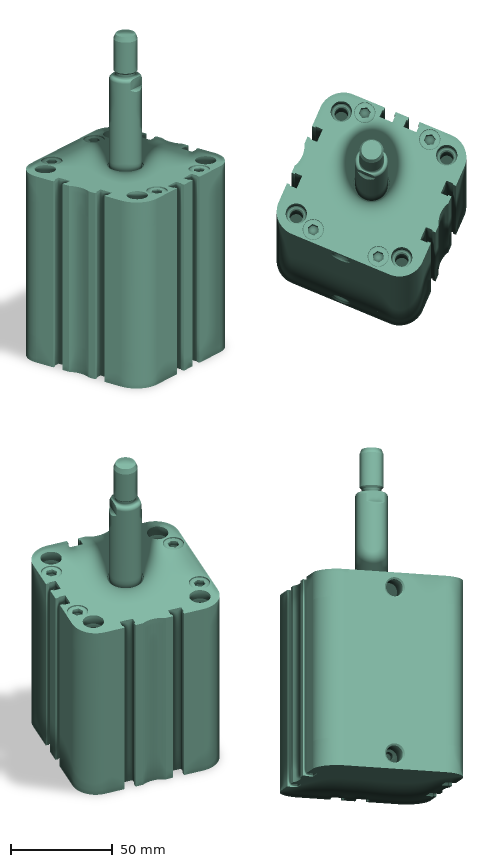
import cadquery as cq
import math

total_height = 169.0
body_side = 77.0
half_side = body_side / 2
body_height = 99.0
cap_height = 13.9
barrel_height = body_height - 2 * cap_height
corner_radius = 12.3
overshoot = 1.7

slot_opening = 5.7
slot_width = 7.0
slot_depth = 5.4
slot_lip = 1.7
front_slot_offset = 12.8
side_slot_offset = 6.5

hollow_half_width = 6.0
hollow_depth = 1.5

mount_offset = 28.2
mount_counterbore_diameter = 10.5
mount_counterbore_depth = 5.0
mount_chamfer_diameter = 8.0
mount_hole_diameter = 6.6

screw_x = 32.3
screw_y = 17.4
screw_recess_diameter = 10.5
screw_head_diameter = 9.8
screw_head_sink = 0.5
socket_sides = 6
socket_across_flats = 5.0
socket_depth = 2.5

port_edge_distance = 7.6
port_diameter = 8.6
port_mouth_diameter = 10.3
port_depth = 10.1
passage_diameter = 4.0
passage_depth = 3.4
passage_rise = 0.8

rod_diameter = 16.0
rod_shoulder_z = 147.0
rod_shoulder_radius = 1.7
neck_diameter = 10.0
neck_fillet = 0.7
thread_diameter = 12.0
thread_start_z = 149.9
thread_run_out = (thread_diameter - neck_diameter) / 2
tip_diameter = 10.0
tip_chamfer_height = 2.5
flat_across = 13.0
flat_bottom_z = 141.6

rod_recess_diameter = 17.7
rod_recess_mouth_diameter = 18.0
rod_recess_depth = 0.8
rod_guide_mouth_diameter = 16.5


def slot_cutter(height):
    """T-slot cutter open towards +Y, its mouth centred on the Z axis at y = 0."""
    mouth = cq.Workplane("XY").box(
        slot_opening, slot_depth + overshoot, height, centered=(True, False, False)
    ).translate((0, -slot_depth, 0))
    cavity = cq.Workplane("XY").box(
        slot_width, slot_depth - slot_lip, height, centered=(True, False, False)
    ).translate((0, -slot_depth, 0))
    return mouth.union(cavity)


def hollow_cutter(height):
    """Cylinder that cuts the hollow into a side at y = 0, facing +Y."""
    radius = (hollow_half_width**2 + hollow_depth**2) / (2 * hollow_depth)
    return cq.Workplane("XY").center(0, radius - hollow_depth).circle(radius).extrude(height)


def body_section(bottom_z, height):
    """A length of the outer section shared by the caps and the barrel."""
    section = cq.Workplane("XY").rect(body_side, body_side).extrude(height).edges("|Z").fillet(corner_radius)
    slot = slot_cutter(height)
    hollow = hollow_cutter(height)
    for turn in (0, 180):
        for x in (-front_slot_offset, front_slot_offset):
            section = section.cut(slot.translate((x, half_side, 0)).rotate((0, 0, 0), (0, 0, 1), turn))
        section = section.cut(hollow.translate((0, half_side, 0)).rotate((0, 0, 0), (0, 0, 1), turn))
    for x in (-side_slot_offset, side_slot_offset):
        section = section.cut(slot.translate((x, half_side, 0)).rotate((0, 0, 0), (0, 0, 1), -90))
    return section.translate((0, 0, bottom_z))


def tapered_hole(large_diameter, small_diameter):
    """45-degree cone with its large end at z = 0, narrowing downwards."""
    depth = (large_diameter - small_diameter) / 2
    profile = [(0, 0), (large_diameter / 2, 0), (small_diameter / 2, -depth), (0, -depth)]
    return cq.Workplane("XZ").polyline(profile).close().revolve(360, (0, 0, 0), (0, 1, 0))


def port_cutter(axis_z):
    """Blind port with a chamfered mouth in the -X side."""
    bore = cq.Workplane("XY").circle(port_diameter / 2).extrude(-port_depth)
    port = bore.union(tapered_hole(port_mouth_diameter, port_diameter))
    return port.rotate((0, 0, 0), (0, 1, 0), -90).translate((-half_side, 0, axis_z))


def mount_hole_cutter():
    """Counterbored, chamfered thread hole through the rod cap, its top at z = 0."""
    counterbore = cq.Workplane("XY").circle(mount_counterbore_diameter / 2).extrude(-mount_counterbore_depth)
    chamfer = tapered_hole(mount_chamfer_diameter, mount_hole_diameter)
    hole = cq.Workplane("XY").circle(mount_hole_diameter / 2).extrude(-cap_height)
    return counterbore.union(chamfer.translate((0, 0, -mount_counterbore_depth))).union(hole)


def screw_cutter(hexagon_turn):
    """Recess over a bevelled screw head and its hexagon socket, the top at z = 0."""
    head_bevel = (screw_recess_diameter - screw_head_diameter) / 2
    recess = cq.Workplane("XY").circle(screw_recess_diameter / 2).extrude(-screw_head_sink - head_bevel)
    head_edge = (
        cq.Workplane("XY")
        .workplane(offset=-screw_head_sink - head_bevel)
        .circle(screw_recess_diameter / 2)
        .workplane(offset=head_bevel)
        .circle(screw_head_diameter / 2)
        .loft()
    )
    across_corners = socket_across_flats / math.cos(math.pi / socket_sides)
    socket = cq.Workplane("XY").polygon(socket_sides, across_corners).extrude(-screw_head_sink - socket_depth)
    return recess.cut(head_edge).union(socket.rotate((0, 0, 0), (0, 0, 1), hexagon_turn))


def rod_opening_cutter():
    """Rod hole through the rod cap with a stepped mouth, its top at z = 0."""
    hole = cq.Workplane("XY").circle(rod_diameter / 2).extrude(-cap_height)
    recess = cq.Workplane("XY").circle(rod_recess_diameter / 2).extrude(-rod_recess_depth)
    mouth = tapered_hole(rod_recess_mouth_diameter, rod_recess_diameter)
    guide = tapered_hole(rod_guide_mouth_diameter, rod_diameter).translate((0, 0, -rod_recess_depth))
    return hole.union(recess).union(mouth).union(guide)


def make_rod_cap():
    cap = body_section(body_height - cap_height, cap_height)
    mount_hole = mount_hole_cutter()
    for side_x in (-1, 1):
        screw = screw_cutter(180 / socket_sides if side_x < 0 else 0)
        for side_y in (-1, 1):
            cap = cap.cut(mount_hole.translate((side_x * mount_offset, side_y * mount_offset, body_height)))
            cap = cap.cut(screw.translate((side_x * screw_x, side_y * screw_y, body_height)))
    cap = cap.cut(rod_opening_cutter().translate((0, 0, body_height)))
    return cap.cut(port_cutter(body_height - port_edge_distance))


def make_end_cap():
    cap = body_section(0, cap_height)
    passage = (
        cq.Workplane("YZ", origin=(port_depth - half_side, 0, port_edge_distance + passage_rise))
        .circle(passage_diameter / 2)
        .extrude(passage_depth)
    )
    return cap.cut(port_cutter(port_edge_distance)).cut(passage)


def make_barrel():
    return body_section(cap_height, barrel_height)


def flat_cutter():
    """Wrench-flat cutter for the +X side, with a 45-degree run-out at its lower end."""
    depth = (rod_diameter - flat_across) / 2
    outer_x = rod_diameter / 2 + overshoot
    run_out = depth + overshoot
    profile = [
        (flat_across / 2, rod_shoulder_z),
        (flat_across / 2, flat_bottom_z),
        (outer_x, flat_bottom_z - run_out),
        (outer_x, rod_shoulder_z),
    ]
    return cq.Workplane("XZ").polyline(profile).close().extrude(rod_diameter / 2, both=True)


def make_rod():
    rod_radius = rod_diameter / 2
    thread_radius = thread_diameter / 2
    neck_radius = neck_diameter / 2
    shoulder_edge = rod_radius - rod_shoulder_radius
    fillet_edge = neck_radius + neck_fillet
    bottom_z = body_height - cap_height
    arc_midpoint = math.sqrt(0.5)
    shoulder_midpoint = (
        shoulder_edge + rod_shoulder_radius * arc_midpoint,
        rod_shoulder_z - rod_shoulder_radius * (1 - arc_midpoint),
    )
    fillet_midpoint = (
        fillet_edge - neck_fillet * arc_midpoint,
        rod_shoulder_z + neck_fillet * (1 - arc_midpoint),
    )
    rod = (
        cq.Workplane("XZ")
        .moveTo(0, bottom_z)
        .lineTo(rod_radius, bottom_z)
        .lineTo(rod_radius, rod_shoulder_z - rod_shoulder_radius)
        .threePointArc(shoulder_midpoint, (shoulder_edge, rod_shoulder_z))
        .lineTo(fillet_edge, rod_shoulder_z)
        .threePointArc(fillet_midpoint, (neck_radius, rod_shoulder_z + neck_fillet))
        .lineTo(neck_radius, thread_start_z - thread_run_out)
        .lineTo(thread_radius, thread_start_z)
        .lineTo(thread_radius, total_height - tip_chamfer_height)
        .lineTo(tip_diameter / 2, total_height)
        .lineTo(0, total_height)
        .close()
        .revolve(360, (0, 0, 0), (0, 1, 0))
    )
    flat = flat_cutter()
    return rod.cut(flat).cut(flat.mirror("YZ"))


rod_cap = make_rod_cap()
barrel = make_barrel()
end_cap = make_end_cap()
piston_rod = make_rod()

result = cq.Compound.makeCompound([rod_cap.val(), barrel.val(), end_cap.val(), piston_rod.val()])